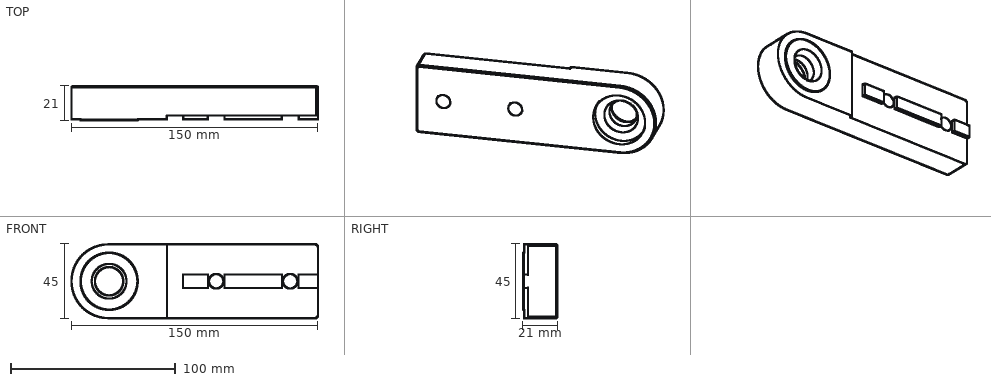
import cadquery as cq

LENGTH = 150.0
HEIGHT = 45.0
TOTAL_DEPTH = 21.0
NOSE_RADIUS = HEIGHT / 2

BUSHING_PROTRUSION = 0.8
HUB_DEPTH = TOTAL_DEPTH - BUSHING_PROTRUSION
STEP_DEPTH = 2.2
PLATE_DEPTH = HUB_DEPTH - STEP_DEPTH
HUB_LENGTH = 58.0
BACK_CHAMFER = 0.9
END_CHAMFER = 1.2

SCREW_HOLE_DIAMETER = 8.7
FIRST_HOLE_X = 88.0
HOLE_SPACING = 45.0
HOLE_POSITIONS = [FIRST_HOLE_X, FIRST_HOLE_X + HOLE_SPACING]
KEY_START_X = 68.0
KEY_HEIGHT = 8.0
KEY_GAP = 10.0

BUSHING_X = 23.0
BUSHING_DIAMETER = 35.0
BUSHING_LENGTH = 15.9
BUSHING_CHAMFER = 0.3
SHOULDER_HOLE_DIAMETER = 32.5
SEAT_DEPTH = BUSHING_LENGTH - BUSHING_PROTRUSION

MOUTH_DIAMETER = 21.2
MOUTH_CHAMFER_WIDTH = 0.5
MOUTH_CHAMFER_DEPTH = 1.5
LAND_DIAMETER = 17.1
LAND_LENGTH = 6.0


def front_disc(center_x, diameter, depth):
    """Cylinder along Y from the back face (Y = 0) to Y = -depth."""
    return cq.Workplane("XZ").center(center_x, 0).circle(diameter / 2).extrude(depth)


def make_blank():
    """Bar with a round nose, chamfered end corners and a chamfered back rim."""
    half_height = HEIGHT / 2
    return (
        cq.Workplane("XZ")
        .moveTo(NOSE_RADIUS, half_height)
        .lineTo(LENGTH - END_CHAMFER, half_height)
        .lineTo(LENGTH, half_height - END_CHAMFER)
        .lineTo(LENGTH, -half_height + END_CHAMFER)
        .lineTo(LENGTH - END_CHAMFER, -half_height)
        .lineTo(NOSE_RADIUS, -half_height)
        .threePointArc((0, 0), (NOSE_RADIUS, half_height))
        .close()
        .extrude(HUB_DEPTH)
        .faces(">Y")
        .chamfer(BACK_CHAMFER)
    )


def make_step_cut():
    """Material removed from the front face beyond the hub."""
    return cq.Workplane("XY").box(
        LENGTH - HUB_LENGTH, STEP_DEPTH, HEIGHT, centered=(False, False, True)
    ).translate((HUB_LENGTH, -HUB_DEPTH, 0))


def key_spans():
    """Start and end X of each key segment between the screw holes."""
    starts = [KEY_START_X] + [x + KEY_GAP / 2 for x in HOLE_POSITIONS]
    ends = [x - KEY_GAP / 2 for x in HOLE_POSITIONS] + [LENGTH]
    return zip(starts, ends)


def make_key_segment(start, end):
    """Key segment standing on the plate, level with the hub face."""
    return cq.Workplane("XY").box(
        end - start, STEP_DEPTH, KEY_HEIGHT, centered=(False, False, True)
    ).translate((start, -HUB_DEPTH, 0))


def make_bar():
    bar = make_blank().cut(make_step_cut())
    for start, end in key_spans():
        bar = bar.union(make_key_segment(start, end))
    for x in HOLE_POSITIONS:
        bar = bar.cut(front_disc(x, SCREW_HOLE_DIAMETER, PLATE_DEPTH))
    seat = front_disc(BUSHING_X, BUSHING_DIAMETER, SEAT_DEPTH).translate((0, SEAT_DEPTH - HUB_DEPTH, 0))
    shoulder_hole = front_disc(BUSHING_X, SHOULDER_HOLE_DIAMETER, HUB_DEPTH)
    return bar.cut(seat).cut(shoulder_hole)


def make_bushing():
    """Bushing revolved about the Y axis, the same at both ends."""
    outer_radius = BUSHING_DIAMETER / 2
    mouth_radius = MOUTH_DIAMETER / 2
    taper_radius = mouth_radius - MOUTH_CHAMFER_WIDTH
    land_radius = LAND_DIAMETER / 2
    half_length = BUSHING_LENGTH / 2
    half_land = LAND_LENGTH / 2
    front_profile = [
        (outer_radius, -half_length + BUSHING_CHAMFER),
        (outer_radius - BUSHING_CHAMFER, -half_length),
        (mouth_radius, -half_length),
        (taper_radius, -half_length + MOUTH_CHAMFER_DEPTH),
        (land_radius, -half_land),
    ]
    back_profile = [(radius, -y) for radius, y in reversed(front_profile)]
    return (
        cq.Workplane("XY")
        .polyline(front_profile + back_profile)
        .close()
        .revolve(360, (0, 0, 0), (0, 1, 0))
        .translate((BUSHING_X, half_length - TOTAL_DEPTH, 0))
    )


bar = make_bar()
bushing = make_bushing()
result = cq.Compound.makeCompound([bar.val(), bushing.val()])